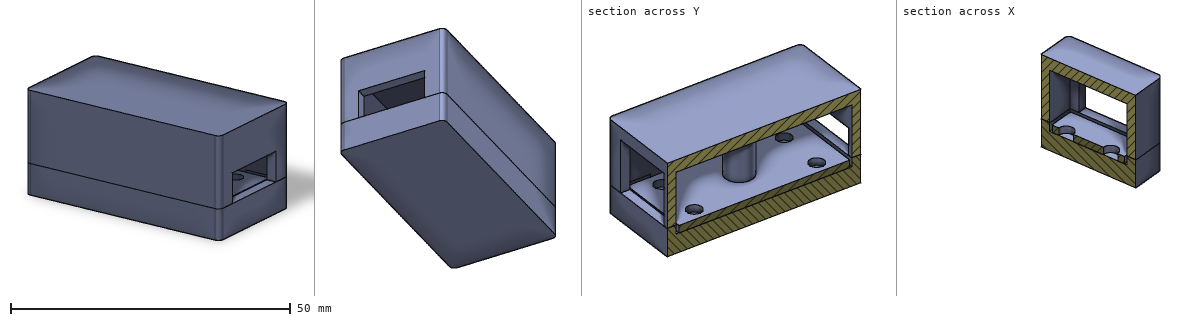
import cadquery as cq

LENGTH = 42.45
WIDTH = 21.5
HEIGHT = 20.0
CORNER_RADIUS = 1.0
WALL = 2.0
SPLIT_HEIGHT = 6.05

WINDOW_WIDTH = 13.45
NEAR_WINDOW_TOP = 17.3
FAR_WINDOW_TOP = 11.9

TONGUE_LENGTH = 26.6
TONGUE_THICKNESS = WALL / 2

POST_DIAMETER = 6.0

BOARD_THICKNESS = 1.57
BOARD_DROP = 0.2
BOARD_GAP = 0.5
HOLE_DIAMETER = 3.2
HOLE_X_PITCH = 26.85
HOLE_Y_PITCH = 10.1

CAVITY_LENGTH = LENGTH - 2 * WALL
CAVITY_WIDTH = WIDTH - 2 * WALL
CEILING_HEIGHT = NEAR_WINDOW_TOP
BOARD_LENGTH = CAVITY_LENGTH - 2 * BOARD_GAP
BOARD_WIDTH = CAVITY_WIDTH - 2 * BOARD_GAP
BOARD_TOP = SPLIT_HEIGHT - BOARD_DROP
FLOOR_HEIGHT = BOARD_TOP - BOARD_THICKNESS


def block(length, width, bottom, top):
    """Box centred on the Z axis between two heights."""
    return cq.Workplane("XY", origin=(0, 0, bottom)).rect(length, width).extrude(top - bottom)


def rounded_block(bottom, top):
    """Slice of the outer shape, with its upright edges rounded."""
    return block(LENGTH, WIDTH, bottom, top).edges("|Z").fillet(CORNER_RADIUS)


def end_window(side, top):
    """Cutter for the window in the end wall at side -1 (-X) or +1 (+X)."""
    wall_centre = side * (LENGTH - WALL) / 2
    return block(WALL, WINDOW_WIDTH, SPLIT_HEIGHT, top).translate((wall_centre, 0, 0))


def tongue(side):
    """Strip flush with the inner face of the long wall at side -1 (-Y) or +1 (+Y)."""
    offset = side * (CAVITY_WIDTH + TONGUE_THICKNESS) / 2
    strip = block(TONGUE_LENGTH, TONGUE_THICKNESS, FLOOR_HEIGHT, SPLIT_HEIGHT)
    return strip.translate((0, offset, 0))


def make_cover():
    """Upper shell with an open window at each end, two tongues and a central post."""
    cover = rounded_block(SPLIT_HEIGHT, HEIGHT)
    cover = cover.cut(block(CAVITY_LENGTH, CAVITY_WIDTH, SPLIT_HEIGHT, CEILING_HEIGHT))
    cover = cover.cut(end_window(-1, NEAR_WINDOW_TOP))
    cover = cover.cut(end_window(1, FAR_WINDOW_TOP))
    for side in (-1, 1):
        cover = cover.union(tongue(side))
    post_bottom = cq.Workplane("XY", origin=(0, 0, BOARD_TOP))
    post = post_bottom.circle(POST_DIAMETER / 2).extrude(CEILING_HEIGHT - BOARD_TOP)
    return cover.union(post)


def make_base():
    """Lower tray with a notch for each cover tongue."""
    base = rounded_block(0, SPLIT_HEIGHT)
    base = base.cut(block(CAVITY_LENGTH, CAVITY_WIDTH, FLOOR_HEIGHT, SPLIT_HEIGHT))
    for side in (-1, 1):
        base = base.cut(tongue(side))
    return base


def make_board():
    """Flat board with a through hole near each corner."""
    board = block(BOARD_LENGTH, BOARD_WIDTH, FLOOR_HEIGHT, BOARD_TOP)
    hole_pattern = board.faces(">Z").workplane().rect(HOLE_X_PITCH, HOLE_Y_PITCH, forConstruction=True)
    return hole_pattern.vertices().hole(HOLE_DIAMETER)


cover = make_cover()
base = make_base()
board = make_board()
result = cq.Compound.makeCompound([cover.solids().val(), base.solids().val(), board.solids().val()])